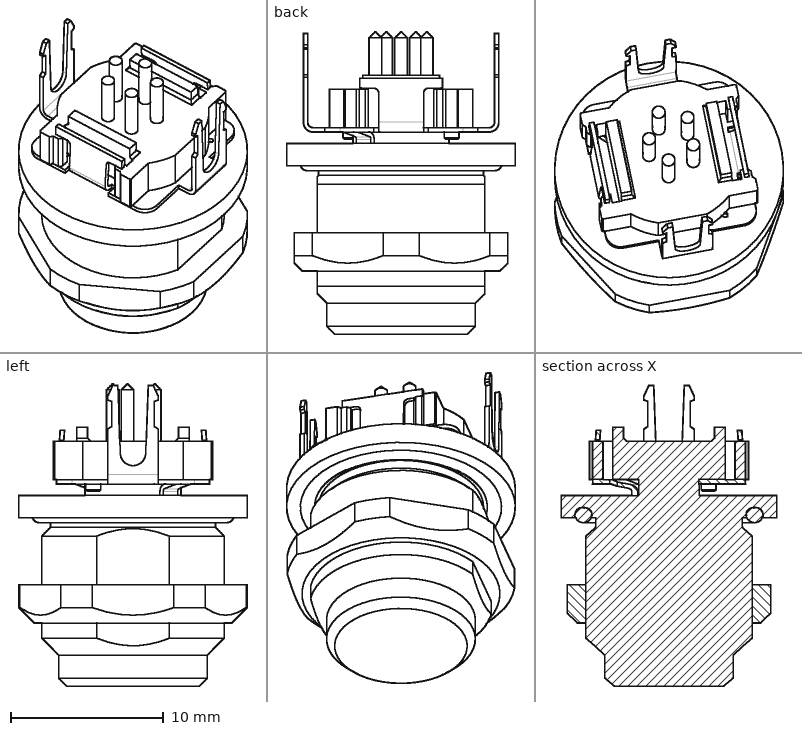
import cadquery as cq
import math

NOSE_R = 4.88
NOSE_TOP = 2.05
NOSE_CHAMFER = 0.54
THREAD_R = 6.0
THREAD_TOP = 9.85
FLAT_HALF_WIDTH = 5.5
NECK_R = 5.42
FLANGE_R = 7.5
FLANGE_BOTTOM = 11.04
FLANGE_TOP = 12.53
POST_R = 3.15

O_RING_R = 6.13
O_RING_SECTION_R = 0.5
O_RING_Z = 11.22

NUT_ACROSS_FLATS = 14.01
NUT_R = FLANGE_R
NUT_BOTTOM = 4.15
NUT_HEIGHT = 2.52
NUT_CHAMFER = 1.01

SHEET = 0.3
CLIP_TOP = 13.55
CLIP_BOTTOM = CLIP_TOP - SHEET
CLIP_HALF = 5.02
CLIP_CORNER_R = 1
BEND_R = 0.64

ARM_OUTER_X = 6.41
ARM_HALF_WIDTH = 1.67
ARM_TOP = 19.73
ARM_SLOT_R = 0.83
ARM_SLOT_Z = 15.3
ARM_SLOT_TOP_HALF = 1
ARM_TIP_HALF = 1.33
ARM_WAIST_HALF = 1.4
SHOULDER_BOTTOM = 16.85
SHOULDER_TOP = 17.03
BARB_BOTTOM = 18.68
BARB_LOW = 18.78
BARB_HIGH = 19.0

HOOK_OUTER_Y = 4.98
HOOK_TILT = math.radians(4)
HOOK_TOP = 16.8
HOOK_WING_Z = 16.14
HOOK_WING_HALF = 2.72
HOOK_STEM_HALF = 1.47
HOOK_FILLET = 0.34
RELIEF_HALF = 1.79
RELIEF_Y = 4.27

TONGUE_HALF_WIDTH = 0.67
TONGUE_ROOT = 4.66
TONGUE_SLOPE = math.radians(15)
TONGUE_TIP = 3.18
TONGUE_BEND_R = 0.5
SLIT_WIDTH = 0.34
SLIT_END = 5.18
TONGUE_ANGLES = (45, 225)

INSERT_TOP = 16.08
INSERT_HALF_X = 4.7
INSERT_R = 4.98
BLOCK_HALF_X = 3.75
BLOCK_HALF_Y = 5.22
BLOCK_CHAMFER = 0.08
STEP = 0.2
STEP_HALF_X = 2.94
POCKET_HALF_X = 2.75
POCKET_INNER_Y = 3.7
POCKET_OUTER_Y = 4.33
WINDOW_HALF_X = 2.15
WINDOW_CHAMFER = 0.2

RAIL_HALF_X = 2.52
RAIL_INNER_Y = 2.98
RAIL_TOP = 17.0
RAIL_FLARE = 0.2

PEG_R = 0.5
PEG_X = 3.31
PEG_Y = 2.6
PEG_BOTTOM = 12.78
PEG_CHAMFER = 0.12

PIN_R = 0.42
PIN_TOP = 19.85
PIN_CIRCLE_R = 1.73
PIN_ANGLES = (-56, 12, 168, 236)
PIN_TOP_Y = 1.33


def box(x0, x1, y0, y1, z0, z1):
    """Axis-aligned block between two corners."""
    return cq.Workplane("XY").box(x1 - x0, y1 - y0, z1 - z0, centered=False).translate((x0, y0, z0))


def half_turn(shape):
    """The shape and its copy turned half a turn about the Z axis."""
    return shape, shape.rotate((0, 0, 0), (0, 0, 1), 180)


def make_o_ring():
    return (
        cq.Workplane("XZ")
        .center(O_RING_R, O_RING_Z)
        .circle(O_RING_SECTION_R)
        .revolve(360, (-O_RING_R, 0, 0), (-O_RING_R, 1, 0))
    )


def make_threaded_barrel():
    """Turned nose, thread and neck, with the two flats along the thread."""
    nose_cone_top = NOSE_TOP + THREAD_R - NOSE_R
    neck_bottom = THREAD_TOP + THREAD_R - NECK_R
    turned = (
        cq.Workplane("XZ")
        .moveTo(0, 0)
        .lineTo(NOSE_R - NOSE_CHAMFER, 0)
        .lineTo(NOSE_R, NOSE_CHAMFER)
        .lineTo(NOSE_R, NOSE_TOP)
        .lineTo(THREAD_R, nose_cone_top)
        .lineTo(THREAD_R, THREAD_TOP)
        .lineTo(NECK_R, neck_bottom)
        .lineTo(NECK_R, FLANGE_BOTTOM)
        .lineTo(0, FLANGE_BOTTOM)
        .close()
        .revolve()
    )
    return turned.intersect(
        box(-FLAT_HALF_WIDTH, FLAT_HALF_WIDTH, -THREAD_R, THREAD_R, 0, FLANGE_BOTTOM)
    )


def make_shell():
    """Threaded barrel, flange with its O-ring seat, and the post that carries the insert."""
    flange = (
        cq.Workplane("XY")
        .workplane(offset=FLANGE_BOTTOM)
        .circle(FLANGE_R)
        .extrude(FLANGE_TOP - FLANGE_BOTTOM)
        .cut(make_o_ring())
    )
    post = cq.Workplane("XY").workplane(offset=FLANGE_TOP).circle(POST_R).extrude(CLIP_TOP - FLANGE_TOP)
    return make_threaded_barrel().union(flange).union(post)


def make_insert_block():
    height = INSERT_TOP - CLIP_TOP
    middle = cq.Workplane("XY").workplane(offset=CLIP_TOP).circle(INSERT_R).extrude(height)
    middle_half_y = math.sqrt(INSERT_R**2 - BLOCK_HALF_X**2)
    middle = middle.intersect(
        box(-INSERT_HALF_X, INSERT_HALF_X, -middle_half_y, middle_half_y, CLIP_TOP, INSERT_TOP)
    )
    block = box(-BLOCK_HALF_X, BLOCK_HALF_X, -BLOCK_HALF_Y, BLOCK_HALF_Y, CLIP_TOP, INSERT_TOP)
    block = block.edges("|Z").chamfer(BLOCK_CHAMFER)
    return block.union(middle)


def make_end_recess():
    """Pocket behind the -Y end wall, with the stepped and chamfered window that opens it outward."""
    step_y = BLOCK_HALF_Y - STEP
    half_outline = [
        (STEP_HALF_X, BLOCK_HALF_Y),
        (STEP_HALF_X - STEP, step_y),
        (WINDOW_HALF_X + WINDOW_CHAMFER, step_y),
        (WINDOW_HALF_X, step_y - WINDOW_CHAMFER),
        (WINDOW_HALF_X, POCKET_OUTER_Y),
        (POCKET_HALF_X, POCKET_OUTER_Y),
        (POCKET_HALF_X, POCKET_INNER_Y),
    ]
    right = [(x, -y) for x, y in half_outline]
    left = [(-x, -y) for x, y in reversed(half_outline)]
    return (
        cq.Workplane("XY")
        .workplane(offset=CLIP_TOP)
        .polyline(right + left)
        .close()
        .extrude(INSERT_TOP - CLIP_TOP)
    )


def make_rail():
    """Upright rail in front of the -Y pocket, flared at its foot on three sides."""
    rail = box(-RAIL_HALF_X, RAIL_HALF_X, -POCKET_INNER_Y, -RAIL_INNER_Y, INSERT_TOP, RAIL_TOP)
    foot_half_x = RAIL_HALF_X + RAIL_FLARE
    foot_bottom = INSERT_TOP - RAIL_FLARE
    foot = box(
        -foot_half_x, foot_half_x,
        -POCKET_INNER_Y, -RAIL_INNER_Y + RAIL_FLARE,
        foot_bottom, INSERT_TOP + RAIL_FLARE,
    )
    foot = foot.faces(">Z").edges("<X or >X or >Y").chamfer(RAIL_FLARE)
    return rail.union(foot)


def make_pin(x, y):
    return (
        cq.Workplane("XY")
        .workplane(offset=INSERT_TOP)
        .circle(PIN_R)
        .extrude(PIN_TOP - PIN_R - INSERT_TOP)
        .union(cq.Workplane(cq.Solid.makeCone(PIN_R, 0, PIN_R, cq.Vector(0, 0, PIN_TOP - PIN_R))))
        .translate((x, y, 0))
    )


def pin_places():
    on_circle = [
        (PIN_CIRCLE_R * math.cos(math.radians(a)), PIN_CIRCLE_R * math.sin(math.radians(a)))
        for a in PIN_ANGLES
    ]
    return on_circle + [(0, PIN_TOP_Y)]


def make_peg():
    """Locating peg that passes down through the clip."""
    return (
        cq.Workplane("XY")
        .workplane(offset=PEG_BOTTOM)
        .center(PEG_X, -PEG_Y)
        .circle(PEG_R)
        .extrude(CLIP_TOP - PEG_BOTTOM)
        .faces("<Z")
        .chamfer(PEG_CHAMFER)
    )


def make_housing():
    insert = make_insert_block()
    for recess in half_turn(make_end_recess()):
        insert = insert.cut(recess)
    housing = make_shell().union(insert)
    for feature in (make_rail(), make_peg()):
        for copy in half_turn(feature):
            housing = housing.union(copy)
    for x, y in pin_places():
        housing = housing.union(make_pin(x, y))
    return housing


def make_nut():
    nut = (
        cq.Workplane("XY")
        .workplane(offset=NUT_BOTTOM)
        .polygon(6, NUT_ACROSS_FLATS, circumscribed=True)
        .extrude(NUT_HEIGHT)
    )
    rounding = (
        cq.Workplane("XY")
        .workplane(offset=NUT_BOTTOM)
        .circle(NUT_R)
        .extrude(NUT_HEIGHT)
        .faces("<Z")
        .chamfer(NUT_CHAMFER)
    )
    return nut.intersect(rounding).cut(make_threaded_barrel())


def make_arm():
    """Forked solder arm on the -X side, bent up from the base."""
    inner_r = BEND_R - SHEET
    bend_x = BEND_R - ARM_OUTER_X
    bend_z = CLIP_BOTTOM + BEND_R
    half_way = math.cos(math.pi / 4)
    side = (
        cq.Workplane("XZ")
        .moveTo(-CLIP_HALF, CLIP_BOTTOM)
        .lineTo(bend_x, CLIP_BOTTOM)
        .threePointArc((bend_x - BEND_R * half_way, bend_z - BEND_R * half_way), (-ARM_OUTER_X, bend_z))
        .lineTo(-ARM_OUTER_X, ARM_TOP)
        .lineTo(-ARM_OUTER_X + SHEET, ARM_TOP)
        .lineTo(-ARM_OUTER_X + SHEET, bend_z)
        .threePointArc((bend_x - inner_r * half_way, bend_z - inner_r * half_way), (bend_x, CLIP_TOP))
        .lineTo(-CLIP_HALF, CLIP_TOP)
        .close()
        .extrude(ARM_HALF_WIDTH, both=True)
    )
    half_outline = [
        (ARM_HALF_WIDTH, CLIP_BOTTOM),
        (ARM_HALF_WIDTH, SHOULDER_BOTTOM),
        (ARM_WAIST_HALF, SHOULDER_TOP),
        (ARM_WAIST_HALF, BARB_BOTTOM),
        (ARM_HALF_WIDTH, BARB_LOW),
        (ARM_HALF_WIDTH, BARB_HIGH),
        (ARM_TIP_HALF, ARM_TOP),
        (ARM_SLOT_TOP_HALF, ARM_TOP),
        (ARM_SLOT_R, ARM_SLOT_Z),
    ]
    fork = (
        cq.Workplane("YZ")
        .polyline(half_outline)
        .threePointArc((0, ARM_SLOT_Z - ARM_SLOT_R), (-ARM_SLOT_R, ARM_SLOT_Z))
    )
    for y, z in reversed(half_outline[:-1]):
        fork = fork.lineTo(-y, z)
    return side.intersect(fork.close().extrude(-ARM_OUTER_X))


def make_hook():
    """T-shaped plate on the -Y side, bent up from the base and leaning slightly inward."""
    inner_r = BEND_R - SHEET
    bend_y = HOOK_OUTER_Y - BEND_R
    bend_z = CLIP_BOTTOM + BEND_R
    lean = math.tan(HOOK_TILT)

    def on_bend(radius, angle):
        return bend_y + radius * math.cos(angle), bend_z + radius * math.sin(angle)

    def top_of(start):
        return start[0] - (HOOK_TOP - start[1]) * lean, HOOK_TOP

    middle = (HOOK_TILT - math.pi / 2) / 2
    outer_end = on_bend(BEND_R, HOOK_TILT)
    inner_end = on_bend(inner_r, HOOK_TILT)
    sheet = (
        cq.Workplane("YZ")
        .moveTo(RELIEF_Y, CLIP_BOTTOM)
        .lineTo(bend_y, CLIP_BOTTOM)
        .threePointArc(on_bend(BEND_R, middle), outer_end)
        .lineTo(*top_of(outer_end))
        .lineTo(*top_of(inner_end))
        .lineTo(*inner_end)
        .threePointArc(on_bend(inner_r, middle), (bend_y, CLIP_TOP))
        .lineTo(RELIEF_Y, CLIP_TOP)
        .close()
        .extrude(HOOK_WING_HALF, both=True)
        .rotate((0, 0, 0), (0, 0, 1), 180)
    )
    stem = box(-HOOK_STEM_HALF, HOOK_STEM_HALF, -HOOK_OUTER_Y, 0, CLIP_BOTTOM, HOOK_WING_Z)
    wing = box(-HOOK_WING_HALF, HOOK_WING_HALF, -HOOK_OUTER_Y, 0, HOOK_WING_Z, HOOK_TOP)
    inner_corners = cq.selectors.BoxSelector(
        (-RELIEF_HALF, -HOOK_OUTER_Y, HOOK_WING_Z - HOOK_FILLET),
        (RELIEF_HALF, 0, HOOK_WING_Z + HOOK_FILLET),
    )
    tee = stem.union(wing).edges("|Y").edges(inner_corners).fillet(HOOK_FILLET)
    return sheet.intersect(tee)


def make_tongue():
    """Earthing tongue along +X: slopes down from the base and curls onto the flange beside the post."""
    inner_r = TONGUE_BEND_R - SHEET
    sin = math.sin(TONGUE_SLOPE)
    cos = math.cos(TONGUE_SLOPE)
    bend_x = TONGUE_TIP + TONGUE_BEND_R
    run = TONGUE_ROOT - (bend_x - TONGUE_BEND_R * sin)
    bend_z = CLIP_TOP - run * math.tan(TONGUE_SLOPE) - TONGUE_BEND_R * cos
    start = math.pi / 2 + TONGUE_SLOPE
    middle = (start + math.pi) / 2

    def on_bend(radius, angle):
        return bend_x + radius * math.cos(angle), bend_z + radius * math.sin(angle)

    flat_end = SLIT_END - SLIT_WIDTH / 2
    lower_root = TONGUE_ROOT + SHEET * math.tan(TONGUE_SLOPE / 2)
    return (
        cq.Workplane("XZ")
        .moveTo(flat_end, CLIP_TOP)
        .lineTo(TONGUE_ROOT, CLIP_TOP)
        .lineTo(*on_bend(TONGUE_BEND_R, start))
        .threePointArc(on_bend(TONGUE_BEND_R, middle), (TONGUE_TIP, bend_z))
        .lineTo(TONGUE_TIP, FLANGE_TOP)
        .lineTo(TONGUE_TIP + SHEET, FLANGE_TOP)
        .lineTo(TONGUE_TIP + SHEET, bend_z)
        .threePointArc(on_bend(inner_r, middle), on_bend(inner_r, start))
        .lineTo(lower_root, CLIP_BOTTOM)
        .lineTo(flat_end, CLIP_BOTTOM)
        .close()
        .extrude(TONGUE_HALF_WIDTH, both=True)
    )


def make_tongue_opening():
    """Opening between two round-ended slits along +X, cleared as far out as the tongue root."""
    slit_y = TONGUE_HALF_WIDTH + SLIT_WIDTH / 2
    slits = (
        cq.Workplane("XY")
        .workplane(offset=CLIP_BOTTOM)
        .pushPoints([(SLIT_END / 2, slit_y), (SLIT_END / 2, -slit_y)])
        .slot2D(SLIT_END, SLIT_WIDTH)
        .extrude(SHEET)
    )
    return slits.union(box(0, TONGUE_ROOT, -slit_y, slit_y, CLIP_BOTTOM, CLIP_TOP))


def make_clip():
    clip = box(-CLIP_HALF, CLIP_HALF, -CLIP_HALF, CLIP_HALF, CLIP_BOTTOM, CLIP_TOP)
    clip = clip.edges("|Z").fillet(CLIP_CORNER_R)
    post_hole = cq.Workplane("XY").workplane(offset=CLIP_BOTTOM).circle(POST_R).extrude(SHEET)
    clip = clip.cut(post_hole)
    relief = box(-RELIEF_HALF, RELIEF_HALF, -CLIP_HALF, -RELIEF_Y, CLIP_BOTTOM, CLIP_TOP)
    for cutter in half_turn(relief) + half_turn(make_peg()):
        clip = clip.cut(cutter)
    for angle in TONGUE_ANGLES:
        clip = clip.cut(make_tongue_opening().rotate((0, 0, 0), (0, 0, 1), angle))
        clip = clip.union(make_tongue().rotate((0, 0, 0), (0, 0, 1), angle))
    for feature in (make_arm(), make_hook()):
        for copy in half_turn(feature):
            clip = clip.union(copy)
    return clip


housing = make_housing()
nut = make_nut()
o_ring = make_o_ring()
clip = make_clip()

bodies = [housing, nut, o_ring, clip]
result = cq.Compound.makeCompound([body.solids().val() for body in bodies])